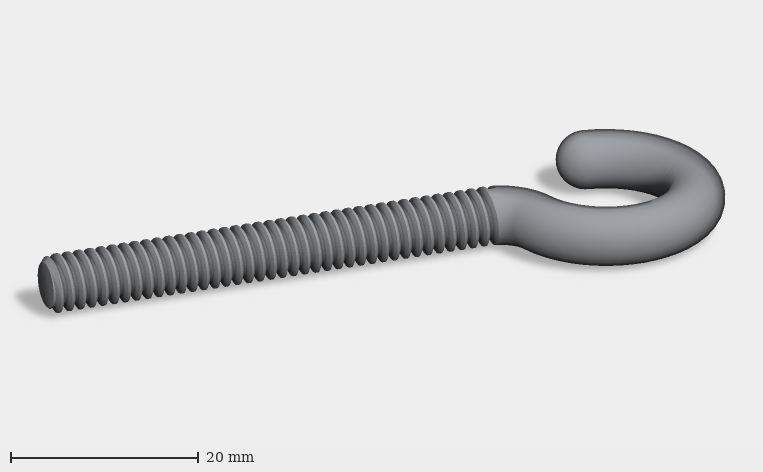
import cadquery as cq
import math

overall_length = 76.15
hook_width = 25.4
wire_diameter = 6.3
neck_radius = 5.1
tip_angle = math.radians(173.5)
end_chamfer = 0.7

thread_length = 50.6
turn_density = 0.7878
crest_share = 0.2
root_share = 0.2
flank_slope = math.tan(math.radians(30))

groove_overshoot = 0.1
cutter_turns = 42

wire_radius = wire_diameter / 2
hook_radius = hook_width / 2 - wire_radius
hook_y = overall_length - hook_width / 2
pitch = 1 / turn_density
groove_depth = pitch * (1 - crest_share - root_share) / (2 * flank_slope)
root_radius = wire_radius - groove_depth

centre_distance = hook_radius + neck_radius
neck_angle = math.asin(neck_radius / centre_distance)
shank_length = hook_y - centre_distance * math.cos(neck_angle)


def hook_point(angle):
    """Point on the hook centre line, angle counted from +X."""
    return (hook_radius * math.cos(angle), hook_y + hook_radius * math.sin(angle))


def neck_point(angle):
    """Point on the neck centre line, angle counted from +X about the bend centre."""
    return (neck_radius * (1 + math.cos(angle)), shank_length + neck_radius * math.sin(angle))


def make_shank():
    """Round shank along Y, from the free end to the start of the neck."""
    return cq.Workplane("XZ").circle(wire_radius).extrude(-shank_length)


def make_bend():
    """Neck and hook swept along one smooth centre line, with a domed tip."""
    neck_sweep = math.pi / 2 - neck_angle
    hook_start = -math.pi / 2 + neck_angle
    centre_line = (
        cq.Workplane("XY")
        .moveTo(0, shank_length)
        .threePointArc(neck_point(math.pi - neck_sweep / 2), neck_point(math.pi - neck_sweep))
        .threePointArc(hook_point((hook_start + tip_angle) / 2), hook_point(tip_angle))
    )
    bend = cq.Workplane("XZ", origin=(0, shank_length, 0)).circle(wire_radius).sweep(centre_line)
    tip = cq.Workplane("XY").center(*hook_point(tip_angle)).sphere(wire_radius)
    return bend.union(tip)


def make_thread_cutter():
    """Helical groove starting at the top of the shank and running out past its free end."""
    root_half = pitch * root_share / 2
    mouth_radius = wire_radius + groove_overshoot
    mouth_half = root_half + (mouth_radius - root_radius) * flank_slope

    corners = [
        (root_radius, -root_half),
        (mouth_radius, -mouth_half),
        (mouth_radius, mouth_half),
        (root_radius, root_half),
    ]
    faces = []
    for turn in range(cutter_turns):
        rise = turn * pitch
        edges = [
            cq.Wire.makeHelix(pitch, pitch, radius, cq.Vector(0, 0, height + rise))
            for radius, height in corners
        ]
        faces += [
            cq.Face.makeRuledSurface(edge, following)
            for edge, following in zip(edges, edges[1:] + edges[:1])
        ]
    for end_height in (0, cutter_turns * pitch):
        outline = [cq.Vector(radius, 0, height + end_height) for radius, height in corners]
        faces.append(cq.Face.makeFromWires(cq.Wire.makePolygon(outline, close=True)))
    cutter = cq.Solid.makeSolid(cq.Shell.makeShell(faces))

    start_plane = cq.Plane(origin=(0, thread_length, 0), xDir=(0, 0, 1), normal=(0, -1, 0))
    return cq.Workplane(obj=cutter.moved(cq.Location(start_plane)))


def make_chamfer_cutter():
    """Ring with a triangular section that bevels the free end at 45 degrees."""
    reach = end_chamfer
    return (
        cq.Workplane("XY")
        .polyline([
            (wire_radius - end_chamfer - reach, -reach),
            (wire_radius + reach, -reach),
            (wire_radius + reach, end_chamfer + reach),
        ])
        .close()
        .revolve(360, (0, 0, 0), (0, 1, 0))
    )


body = make_shank().union(make_bend())
result = body.cut(make_thread_cutter()).cut(make_chamfer_cutter())